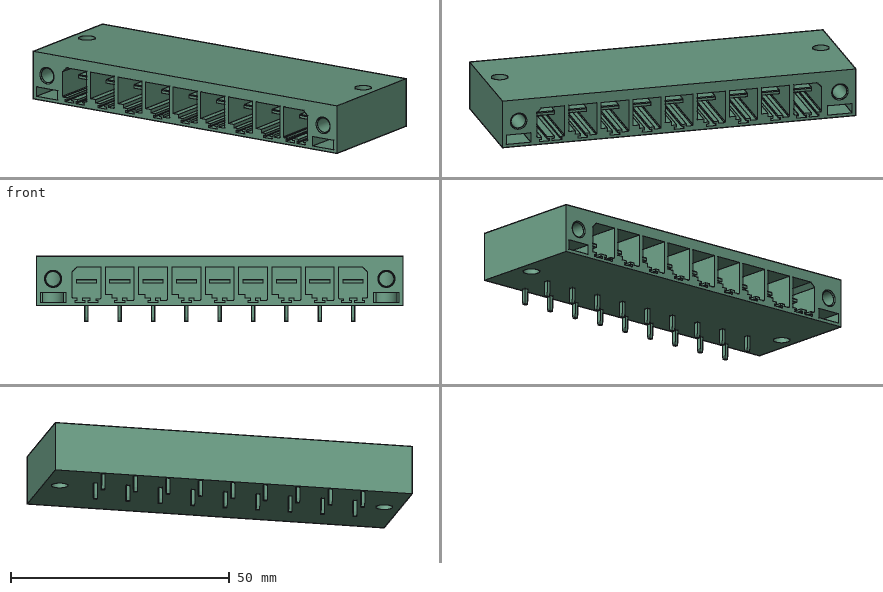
import cadquery as cq

PITCH = 7.62
POLES = 9
HOUSING_WIDTH = (POLES + 2) * PITCH
HOUSING_DEPTH = 28.3
HOUSING_HEIGHT = 11.3
FLANGE_X = (POLES + 1) / 2 * PITCH
POLE_X = [(pole - (POLES - 1) / 2) * PITCH for pole in range(POLES)]

CAVITY_DEPTH = 17.0
CAVITY_HALF_WIDTH = 3.3
CAVITY_TOP = 8.8
FLOOR = 1.7
LEFT_LEDGE = 2.5
RIGHT_FLOOR = 1.2
LEFT_STEP_X = -1.8
RIGHT_STEP_X = 1.7
END_CHAMFER = 1.1
CORNER_CHAMFER = 0.2
END_INNER_FLOOR = 1.5
END_KEYWAY_X = 1.5

KEYWAY_NECK = 1.2
END_KEYWAY_NECK = 1.3
KEYWAY_WIDTH = 2.3
KEYWAY_SHOULDER = 1.2
KEYWAY_BOTTOM = 0.7

BOARD_HOLE_DIAMETER = 3.8
BOARD_HOLE_Y = 16.3
SCREW_HOLE_Z = 6.1
SCREW_HOLE_DIAMETER = 3.4
SCREW_COUNTERSINK = 0.25
NUT_SLOT_WIDTH = 5.8
NUT_SLOT_BOTTOM = 0.75
NUT_SLOT_TOP = 3.0
NUT_SLOT_DEPTH = 15.35
SLEEVE_DIAMETER = 5.2

BLADE_WIDTH = 4.6
BLADE_THICKNESS = 0.8
BLADE_Z = 5.6
BLADE_TIP_Y = 5.0
BLADE_TIP_CHAMFER = 0.2
LEG_WIDTH = 0.8
LEG_DEPTH = 1.0
LEG_LENGTH = 3.6
LEG_TIP_LENGTH = 0.9
LEG_TIP_TAPER = 0.2
REAR_LEG_Y = HOUSING_DEPTH - 1.15
FRONT_LEG_Y = REAR_LEG_Y - PITCH


def box(x_range, y_range, z_range):
    """Box between the given limits."""
    size = [high - low for low, high in (x_range, y_range, z_range)]
    corner = (x_range[0], y_range[0], z_range[0])
    return cq.Workplane("XY").box(*size, centered=False).translate(corner)


def keyway(x, neck_width):
    """T-shaped groove below a cavity floor, centred on x."""
    neck = box(
        (x - neck_width / 2, x + neck_width / 2), (0, CAVITY_DEPTH), (KEYWAY_BOTTOM, FLOOR)
    )
    foot = box(
        (x - KEYWAY_WIDTH / 2, x + KEYWAY_WIDTH / 2),
        (0, CAVITY_DEPTH),
        (KEYWAY_BOTTOM, KEYWAY_SHOULDER),
    )
    return neck.union(foot)


def front_pocket(outline):
    """Pocket with the given XZ outline, running back from the front face."""
    return cq.Workplane("XZ").polyline(outline).close().extrude(-CAVITY_DEPTH)


def middle_cavity():
    """Cavity with a raised ledge on the left and a lowered floor on the right."""
    outline = [
        (-CAVITY_HALF_WIDTH, CAVITY_TOP),
        (-CAVITY_HALF_WIDTH, LEFT_LEDGE),
        (LEFT_STEP_X, LEFT_LEDGE),
        (LEFT_STEP_X, FLOOR),
        (RIGHT_STEP_X, FLOOR),
        (RIGHT_STEP_X, RIGHT_FLOOR),
        (CAVITY_HALF_WIDTH - CORNER_CHAMFER, RIGHT_FLOOR),
        (CAVITY_HALF_WIDTH, RIGHT_FLOOR + CORNER_CHAMFER),
        (CAVITY_HALF_WIDTH, CAVITY_TOP),
    ]
    return front_pocket(outline).union(keyway(0, KEYWAY_NECK))


def left_end_cavity():
    """Cavity with a bevelled outer top corner, chamfered floor corners and two keyways."""
    inner_step_x = END_KEYWAY_X + END_KEYWAY_NECK / 2
    outline = [
        (-CAVITY_HALF_WIDTH + END_CHAMFER, CAVITY_TOP),
        (-CAVITY_HALF_WIDTH, CAVITY_TOP - END_CHAMFER),
        (-CAVITY_HALF_WIDTH, FLOOR + CORNER_CHAMFER),
        (-CAVITY_HALF_WIDTH + CORNER_CHAMFER, FLOOR),
        (inner_step_x, FLOOR),
        (inner_step_x, END_INNER_FLOOR),
        (CAVITY_HALF_WIDTH - CORNER_CHAMFER, END_INNER_FLOOR),
        (CAVITY_HALF_WIDTH, END_INNER_FLOOR + CORNER_CHAMFER),
        (CAVITY_HALF_WIDTH, CAVITY_TOP),
    ]
    cavity = front_pocket(outline)
    for x in (-END_KEYWAY_X, END_KEYWAY_X):
        cavity = cavity.union(keyway(x, END_KEYWAY_NECK))
    return cavity


def flange_cut():
    """Cuts of one flange, centred on X = 0; the sleeve stays solid around the board hole."""
    board_hole = (
        cq.Workplane("XY")
        .center(0, BOARD_HOLE_Y)
        .circle(BOARD_HOLE_DIAMETER / 2)
        .extrude(HOUSING_HEIGHT)
    )
    screw_hole = (
        cq.Workplane("XZ")
        .center(0, SCREW_HOLE_Z)
        .circle(SCREW_HOLE_DIAMETER / 2)
        .extrude(-BOARD_HOLE_Y)
    )
    countersink = cq.Workplane(
        cq.Solid.makeCone(
            SCREW_HOLE_DIAMETER / 2 + SCREW_COUNTERSINK,
            SCREW_HOLE_DIAMETER / 2,
            SCREW_COUNTERSINK,
            cq.Vector(0, 0, SCREW_HOLE_Z),
            cq.Vector(0, 1, 0),
        )
    )
    nut_slot = box(
        (-NUT_SLOT_WIDTH / 2, NUT_SLOT_WIDTH / 2),
        (0, NUT_SLOT_DEPTH),
        (NUT_SLOT_BOTTOM, NUT_SLOT_TOP),
    )
    sleeve = (
        cq.Workplane("XY")
        .center(0, BOARD_HOLE_Y)
        .circle(SLEEVE_DIAMETER / 2)
        .extrude(HOUSING_HEIGHT)
    )
    return screw_hole.union(countersink).union(nut_slot).cut(sleeve).union(board_hole)


def make_contact(x):
    """Contact with its blade reaching into the cavity and both legs through the underside."""
    contact = (
        box(
            (-BLADE_WIDTH / 2, BLADE_WIDTH / 2),
            (BLADE_TIP_Y, REAR_LEG_Y + LEG_DEPTH / 2),
            (BLADE_Z - BLADE_THICKNESS / 2, BLADE_Z + BLADE_THICKNESS / 2),
        )
        .faces("<Y")
        .edges(">Z")
        .chamfer(BLADE_TIP_CHAMFER)
    )
    for leg_y in (FRONT_LEG_Y, REAR_LEG_Y):
        leg = (
            box(
                (-LEG_WIDTH / 2, LEG_WIDTH / 2),
                (leg_y - LEG_DEPTH / 2, leg_y + LEG_DEPTH / 2),
                (-LEG_LENGTH, BLADE_Z),
            )
            .faces("<Z")
            .edges("|X")
            .chamfer(LEG_TIP_LENGTH, LEG_TIP_TAPER)
        )
        contact = contact.union(leg)
    return contact.translate((x, 0, 0))


def make_housing(contacts):
    """Block with cavities, flange holes and a fitting passage for every contact."""
    housing = box(
        (-HOUSING_WIDTH / 2, HOUSING_WIDTH / 2), (0, HOUSING_DEPTH), (0, HOUSING_HEIGHT)
    )
    end_cavity = left_end_cavity()
    housing = housing.cut(end_cavity.translate((POLE_X[0], 0, 0)))
    housing = housing.cut(end_cavity.mirror("YZ").translate((POLE_X[-1], 0, 0)))
    for x in POLE_X[1:-1]:
        housing = housing.cut(middle_cavity().translate((x, 0, 0)))
    for x in (-FLANGE_X, FLANGE_X):
        housing = housing.cut(flange_cut().translate((x, 0, 0)))
    for contact in contacts:
        housing = housing.cut(contact)
    return housing


contacts = [make_contact(x) for x in POLE_X]
housing = make_housing(contacts)

result = cq.Compound.makeCompound([housing.val(), *[contact.val() for contact in contacts]])